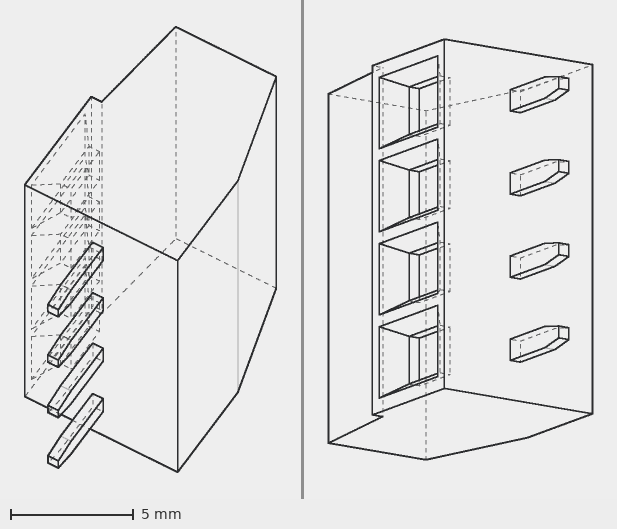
import cadquery as cq

body_width = 7.3
body_depth = 10.0
body_height = 14.7
wall = 0.5

entry_block_depth = 5.2
step_width = wall
entry_side_back_inset = 1.1
plain_side_depth = 4.7
plain_side_back_inset = 1.4

terminal_count = 4
pitch = 3.5
first_terminal_z = (body_height - (terminal_count - 1) * pitch) / 2

entry_depth_y = entry_block_depth - 2 * wall
entry_height = pitch - wall
entry_center_y = entry_block_depth / 2
funnel_inset_y = 1.0
funnel_inset_z = 0.5
funnel_depth = 0.8
pocket_depth = 0.5
pocket_depth_y = entry_depth_y - 2 * funnel_inset_y
pocket_height = entry_height - 2 * funnel_inset_z

pin_center_x = 3.5
pin_thickness = 0.5
pin_height = 0.9
pin_length = 3.5
pin_tip_height = 0.5
pin_taper_length = 1.0


def make_body():
    return (
        cq.Workplane("XY")
        .moveTo(0, 0)
        .lineTo(body_width, 0)
        .lineTo(body_width, plain_side_depth)
        .lineTo(body_width - plain_side_back_inset, body_depth)
        .lineTo(entry_side_back_inset, body_depth)
        .lineTo(step_width, entry_block_depth)
        .lineTo(0, entry_block_depth)
        .close()
        .extrude(body_height)
    )


def make_wire_entry(center_z):
    """Funnel and pocket to cut, running in +X from the face at X = 0."""
    funnel = (
        cq.Workplane("YZ", origin=(0, entry_center_y, center_z))
        .rect(entry_depth_y, entry_height)
        .workplane(offset=funnel_depth)
        .rect(pocket_depth_y, pocket_height)
        .loft(ruled=True)
    )
    pocket = (
        cq.Workplane("YZ", origin=(funnel_depth, entry_center_y, center_z))
        .rect(pocket_depth_y, pocket_height)
        .extrude(pocket_depth)
    )
    return funnel.union(pocket)


def make_pin(center_z):
    """Flat pin pointing in -Y, narrowed in height toward its tip."""
    taper_start_y = pin_taper_length - pin_length
    return (
        cq.Workplane("YZ", origin=(pin_center_x, 0, center_z))
        .moveTo(0, -pin_height / 2)
        .lineTo(0, pin_height / 2)
        .lineTo(taper_start_y, pin_height / 2)
        .lineTo(-pin_length, pin_tip_height / 2)
        .lineTo(-pin_length, -pin_tip_height / 2)
        .lineTo(taper_start_y, -pin_height / 2)
        .close()
        .extrude(pin_thickness / 2, both=True)
    )


result = make_body()
for index in range(terminal_count):
    terminal_z = first_terminal_z + index * pitch
    result = result.cut(make_wire_entry(terminal_z)).union(make_pin(terminal_z))